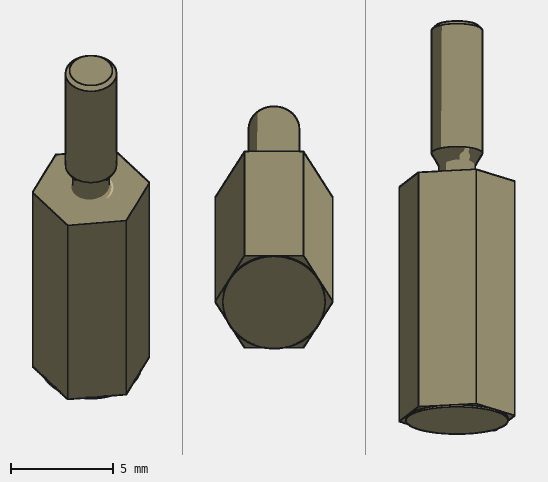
import cadquery as cq
import math

total_height = 20.0
hex_top = 12.0

across_flats = 5.0
corner_diameter = 5.75
seat_diameter = across_flats
seat_height = 0.1

stud_radius = 2.5 / 2
tip_chamfer = 0.2
neck_radius = 1.8 / 2
undercut_length = 1.55
undercut_fillet = 0.2
runout_angle = math.radians(30)


def make_body():
    """Hexagonal bar with two flats facing +Y and -Y, on a thin round seat."""
    hex_height = hex_top - seat_height
    hex_diameter = across_flats / math.cos(math.pi / 6)
    base = cq.Workplane("XY").workplane(offset=seat_height)
    hexagon = base.polygon(6, hex_diameter).extrude(hex_height)
    trim = base.circle(corner_diameter / 2).extrude(hex_height)
    seat = cq.Workplane("XY").circle(seat_diameter / 2).extrude(seat_height)
    return hexagon.intersect(trim).union(seat)


def make_stud():
    """Revolved stud: filleted neck, runout cone, shank and chamfered tip."""
    shank_bottom = hex_top + undercut_length

    fillet_center = neck_radius + undercut_fillet
    cone_radius = fillet_center - undercut_fillet * math.cos(runout_angle)
    cone_bottom = shank_bottom - (stud_radius - cone_radius) / math.tan(runout_angle)
    neck_top = cone_bottom - undercut_fillet * math.sin(runout_angle)
    upper_mid = (
        fillet_center - undercut_fillet * math.cos(runout_angle / 2),
        neck_top + undercut_fillet * math.sin(runout_angle / 2),
    )

    neck_bottom = hex_top + undercut_fillet
    lower_mid = (
        fillet_center - undercut_fillet * math.sqrt(0.5),
        neck_bottom - undercut_fillet * math.sqrt(0.5),
    )

    profile = (
        cq.Workplane("XZ")
        .moveTo(0, hex_top)
        .lineTo(fillet_center, hex_top)
        .threePointArc(lower_mid, (neck_radius, neck_bottom))
        .lineTo(neck_radius, neck_top)
        .threePointArc(upper_mid, (cone_radius, cone_bottom))
        .lineTo(stud_radius, shank_bottom)
        .lineTo(stud_radius, total_height - tip_chamfer)
        .lineTo(stud_radius - tip_chamfer, total_height)
        .lineTo(0, total_height)
        .close()
    )
    return profile.revolve(360, (0, 0, 0), (0, 1, 0))


result = make_body().union(make_stud())